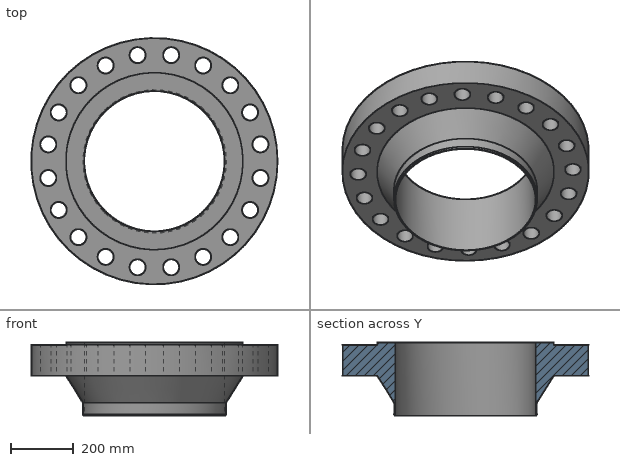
import cadquery as cq

flange_diameter = 787.5
total_height = 235.0
raised_face_diameter = 565.0
raised_face_height = 8.0
flange_thickness = 99.0

cone_top_diameter = 565.0
neck_diameter = 458.0
neck_height = 42.5
bevel_height = 5.5
bevel_width = 3.0
bore_diameter = 447.0

bolt_count = 20
bolt_hole_diameter = 50.0
bolt_circle_diameter = 686.0

bore_radius = bore_diameter / 2
flange_radius = flange_diameter / 2
raised_face_radius = raised_face_diameter / 2
cone_top_radius = cone_top_diameter / 2
neck_radius = neck_diameter / 2
flange_top = total_height - raised_face_height
flange_bottom = flange_top - flange_thickness


def make_body():
    """Revolve the half section, drawn as radius and height, around Z."""
    section = [
        (bore_radius, 0),
        (neck_radius - bevel_width, 0),
        (neck_radius, bevel_height),
        (neck_radius, neck_height),
        (cone_top_radius, flange_bottom),
        (flange_radius, flange_bottom),
        (flange_radius, flange_top),
        (raised_face_radius, flange_top),
        (raised_face_radius, total_height),
        (bore_radius, total_height),
    ]
    return cq.Workplane("XZ").polyline(section).close().revolve(360, (0, 0, 0), (0, 1, 0))


def make_bolt_holes():
    """Through holes, with the X and Y axes midway between neighbouring holes."""
    half_pitch = 360 / bolt_count / 2
    return (
        cq.Workplane("XY")
        .polarArray(bolt_circle_diameter / 2, half_pitch, 360, bolt_count)
        .circle(bolt_hole_diameter / 2)
        .extrude(total_height)
    )


result = make_body().cut(make_bolt_holes())